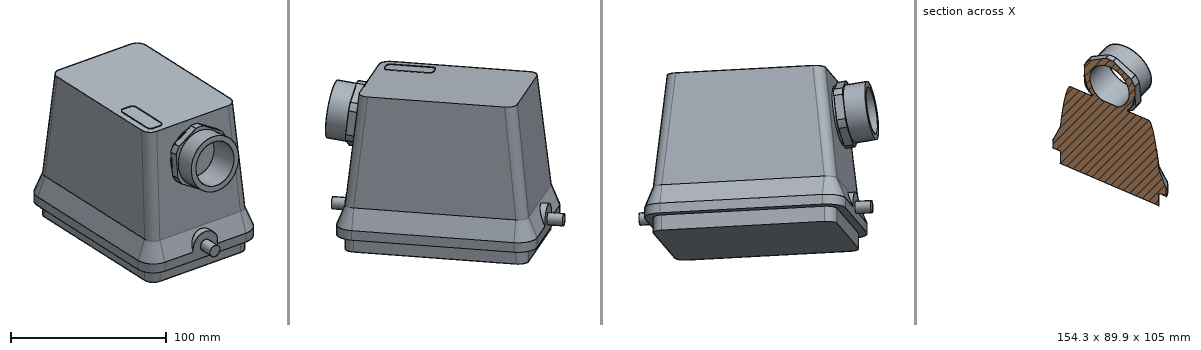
import cadquery as cq
import math


BASE_LENGTH = 120.7
BASE_WIDTH = 78.9
TOP_LENGTH = 104.0
TOP_WIDTH = 71.3
HOOD_HEIGHT = 105.0
CORNER_RADIUS = 7.0

FLANGE_OVERHANG = 5.5
FLANGE_BOTTOM = 10.0
FLANGE_TOP = 16.5
SHOULDER_TOP = 30.1
FLANGE_LENGTH = BASE_LENGTH + 2 * FLANGE_OVERHANG
FLANGE_WIDTH = BASE_WIDTH + 2 * FLANGE_OVERHANG
FLANGE_CORNER_RADIUS = CORNER_RADIUS + FLANGE_OVERHANG

PIN_DIAMETER = 8.0
PIN_SPAN = 152.2
PIN_HEIGHT = 18.5
BOSS_DIAMETER = 19.8

GLAND_HEIGHT = 80.0
COLLAR_DIAMETER = 39.0
COLLAR_LENGTH = 1.5
HEX_ACROSS_FLATS = 40.0
HEX_CORNER_DIAMETER = 43.2
HEX_LENGTH = 5.9
SLEEVE_DIAMETER = 38.0
SLEEVE_LENGTH = 14.0
BORE_DIAMETER = 30.4
GLAND_LENGTH = COLLAR_LENGTH + HEX_LENGTH + SLEEVE_LENGTH
GLAND_ROOT = 3.1

BADGE_LENGTH = 32.4
BADGE_WIDTH = 11.3
BADGE_X = 30.9
BADGE_Y = -25.0
BADGE_CORNER_RADIUS = 3.1
BADGE_DEPTH = 0.5


def rounded_rectangle(length, width, radius):
    return cq.Sketch().rect(length, width).vertices().fillet(radius)


def rounded_prism(length, width, radius, bottom, top):
    """Upright block with rounded vertical edges."""
    outline = rounded_rectangle(length, width, radius)
    return cq.Workplane("XY").workplane(offset=bottom).placeSketch(outline).extrude(top - bottom)


def rounded_taper(bottom_outline, top_outline, bottom, top):
    """Block lofted between two rounded rectangles, each given as (length, width, radius)."""
    lower = rounded_rectangle(*bottom_outline)
    upper = rounded_rectangle(*top_outline).moved(cq.Location(cq.Vector(0, 0, top - bottom)))
    return cq.Workplane("XY").workplane(offset=bottom).placeSketch(lower, upper).loft(ruled=True)


def make_hood():
    base_outline = (BASE_LENGTH, BASE_WIDTH, CORNER_RADIUS)
    top_outline = (TOP_LENGTH, TOP_WIDTH, CORNER_RADIUS)
    flange_outline = (FLANGE_LENGTH, FLANGE_WIDTH, FLANGE_CORNER_RADIUS)
    skirt = rounded_prism(*base_outline, 0, FLANGE_BOTTOM)
    flange = rounded_prism(*flange_outline, FLANGE_BOTTOM, FLANGE_TOP)
    shoulder = rounded_taper(flange_outline, base_outline, FLANGE_TOP, SHOULDER_TOP)
    body = rounded_taper(base_outline, top_outline, SHOULDER_TOP, HOOD_HEIGHT)
    return skirt.union(flange).union(shoulder).union(body)


def make_pins_and_bosses():
    """Pins running through to both ends, on bosses that stand on the flange."""

    def bar(diameter, length):
        return cq.Workplane("YZ").center(0, PIN_HEIGHT).circle(diameter / 2).extrude(length / 2, both=True)

    boss_foot = cq.Workplane("XY").box(
        FLANGE_LENGTH, BOSS_DIAMETER, PIN_HEIGHT - FLANGE_BOTTOM, centered=(True, True, False)
    )
    boss_foot = boss_foot.translate((0, 0, FLANGE_BOTTOM))
    boss_head = bar(BOSS_DIAMETER, FLANGE_LENGTH).intersect(
        rounded_prism(FLANGE_LENGTH, FLANGE_WIDTH, FLANGE_CORNER_RADIUS, FLANGE_BOTTOM, HOOD_HEIGHT)
    )
    return boss_head.union(boss_foot).union(bar(PIN_DIAMETER, PIN_SPAN))


def gland_plane():
    """Plane of the sloping end wall, centred on the gland axis."""
    wall_setback = (BASE_LENGTH - TOP_LENGTH) / 2
    wall_height = HOOD_HEIGHT - SHOULDER_TOP
    wall_x = BASE_LENGTH / 2 - wall_setback * (GLAND_HEIGHT - SHOULDER_TOP) / wall_height
    return cq.Plane(
        origin=(wall_x, 0, GLAND_HEIGHT),
        xDir=(0, 1, 0),
        normal=(wall_height, 0, wall_setback),
    )


def make_gland(plane):
    def disc(diameter, start, length):
        return cq.Workplane(plane).workplane(offset=start).circle(diameter / 2).extrude(length)

    hex_corners_diameter = HEX_ACROSS_FLATS / math.cos(math.pi / 6)
    collar = disc(COLLAR_DIAMETER, -GLAND_ROOT, GLAND_ROOT + COLLAR_LENGTH)
    hexagon = (
        cq.Workplane(plane)
        .workplane(offset=COLLAR_LENGTH)
        .transformed(rotate=(0, 0, 90))
        .polygon(6, hex_corners_diameter)
        .extrude(HEX_LENGTH)
        .intersect(disc(HEX_CORNER_DIAMETER, COLLAR_LENGTH, HEX_LENGTH))
    )
    sleeve = disc(SLEEVE_DIAMETER, COLLAR_LENGTH, HEX_LENGTH + SLEEVE_LENGTH)
    return collar.union(hexagon).union(sleeve)


def make_gland_bore(plane):
    """Bore from the gland mouth to the end wall."""
    return cq.Workplane(plane).circle(BORE_DIAMETER / 2).extrude(GLAND_LENGTH)


def make_badge_recess():
    recess = rounded_prism(
        BADGE_LENGTH, BADGE_WIDTH, BADGE_CORNER_RADIUS, HOOD_HEIGHT - BADGE_DEPTH, HOOD_HEIGHT
    )
    return recess.translate((BADGE_X, BADGE_Y, 0))


end_wall = gland_plane()
result = (
    make_hood()
    .union(make_pins_and_bosses())
    .union(make_gland(end_wall))
    .cut(make_gland_bore(end_wall))
    .cut(make_badge_recess())
)